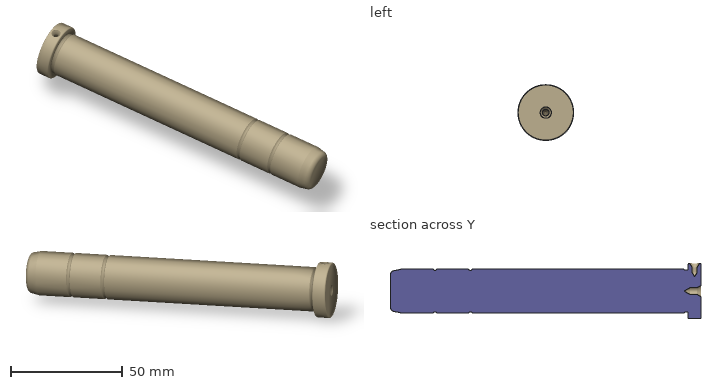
import cadquery as cq
import math

length = 140.0
head_diameter = 25.0
head_thickness = 6.0
head_edge_radius = 0.5
shank_diameter = 20.0

undercut_depth = 0.4
undercut_width = 2.0
undercut_slope = 0.5

taper_start = length - 5.0
nose_radius = 2.1
taper_angle = math.radians(12)

groove_start = 103.0
groove_pitch = 16.0
groove_count = 2
groove_width = 1.7
groove_depth = 0.5

centre_diameter = 5.0
centre_bore_diameter = 3.0
centre_bore_depth = 5.0

rim_hole_diameter = 4.0
rim_bore_diameter = 2.0
rim_bore_depth = 4.0

cone_half_angle = math.radians(30)

head_radius = head_diameter / 2
shank_radius = shank_diameter / 2


def revolve_about_axis(profile):
    return profile.close().revolve(360, (0, 0, 0), (1, 0, 0))


def make_body():
    undercut_radius = shank_radius - undercut_depth
    undercut_end = head_thickness + undercut_width
    nose_start = length - nose_radius * (1 - math.sin(taper_angle))
    taper_end_radius = shank_radius - (nose_start - taper_start) * math.tan(taper_angle)
    tip_radius = taper_end_radius - nose_radius * math.cos(taper_angle)
    profile = (
        cq.Workplane("XY")
        .lineTo(0, head_radius - head_edge_radius)
        .radiusArc((head_edge_radius, head_radius), head_edge_radius)
        .lineTo(head_thickness - head_edge_radius, head_radius)
        .radiusArc((head_thickness, head_radius - head_edge_radius), head_edge_radius)
        .lineTo(head_thickness, undercut_radius)
        .lineTo(undercut_end - undercut_slope, undercut_radius)
        .lineTo(undercut_end, shank_radius)
        .lineTo(taper_start, shank_radius)
        .lineTo(nose_start, taper_end_radius)
        .radiusArc((length, tip_radius), nose_radius)
        .lineTo(length, 0)
    )
    return revolve_about_axis(profile)


def make_groove(start):
    """Ring that cuts one shallow round-bottomed groove."""
    profile = (
        cq.Workplane("XY")
        .moveTo(start, shank_radius)
        .threePointArc(
            (start + groove_width / 2, shank_radius - groove_depth),
            (start + groove_width, shank_radius),
        )
    )
    return revolve_about_axis(profile)


def make_countersunk_hole(mouth_diameter, bore_diameter, bore_depth):
    """Cutter entering along +X from X = 0, with a countersink and a pointed bottom."""
    mouth_radius = mouth_diameter / 2
    bore_radius = bore_diameter / 2
    slope = math.tan(cone_half_angle)
    cone_end = (mouth_radius - bore_radius) / slope
    tip = bore_depth + bore_radius / slope
    profile = (
        cq.Workplane("XY")
        .lineTo(0, mouth_radius)
        .lineTo(cone_end, bore_radius)
        .lineTo(bore_depth, bore_radius)
        .lineTo(tip, 0)
    )
    return revolve_about_axis(profile)


def make_rim_hole():
    """Countersunk hole turned to point down from the top of the head."""
    mouth_height = math.sqrt(head_radius**2 - (rim_hole_diameter / 2) ** 2)
    mouth = (
        cq.Workplane("XY", origin=(head_thickness / 2, 0, mouth_height))
        .circle(rim_hole_diameter / 2)
        .extrude(head_radius - mouth_height)
    )
    hole = make_countersunk_hole(rim_hole_diameter, rim_bore_diameter, rim_bore_depth)
    hole = hole.rotate((0, 0, 0), (0, 1, 0), 90).translate((head_thickness / 2, 0, mouth_height))
    return mouth.union(hole)


result = make_body()
for index in range(groove_count):
    result = result.cut(make_groove(groove_start + index * groove_pitch))
result = result.cut(make_countersunk_hole(centre_diameter, centre_bore_diameter, centre_bore_depth))
result = result.cut(make_rim_hole())